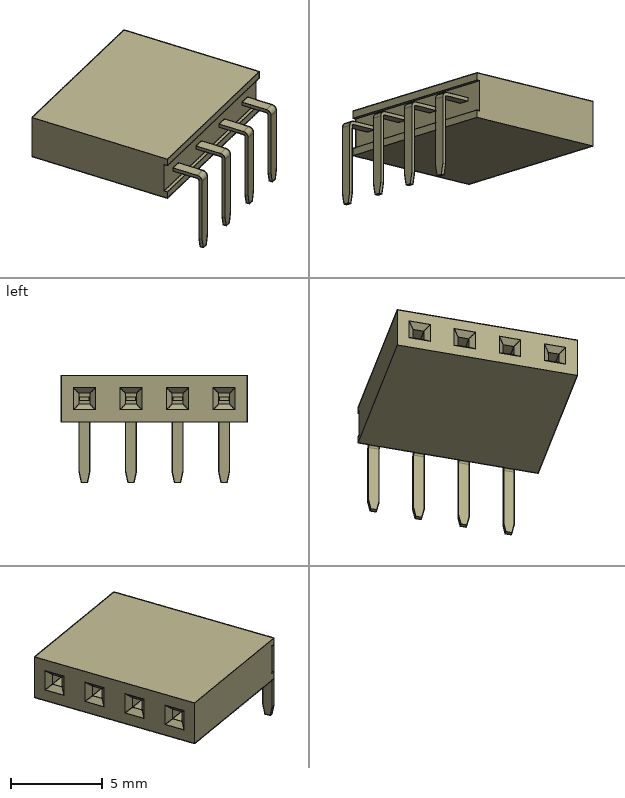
import cadquery as cq

pin_count = 4
pitch = 2.54
housing_length = 8.5
housing_width = pin_count * pitch
housing_height = 2.54
rear_recess_depth = 0.2
rear_lip_height = 0.42

lead_in_size = 1.2
socket_size = 0.6
lead_in_depth = (lead_in_size - socket_size) / 2
socket_depth = 6.0

contact_width = 0.6
contact_thickness = 0.2
blade_width = 0.52
blade_start = 3.0
blade_overlap = 0.1
bend_outer_radius = 0.3
bend_inner_radius = bend_outer_radius - contact_thickness
contact_reach = 10.13
leg_drop = 3.3
tip_width = 0.34
tip_length = 0.6

axis_height = housing_height / 2
recess_face = housing_length - rear_recess_depth
contact_top = axis_height + contact_thickness / 2
row_positions = [(i - (pin_count - 1) / 2) * pitch for i in range(pin_count)]


def make_housing():
    """Rectangular block with a full-width recess between two lips at the rear."""
    block = cq.Workplane("XY").box(
        housing_length, housing_width, housing_height, centered=(False, True, False)
    )
    recess = cq.Workplane("XY").box(
        rear_recess_depth,
        housing_width,
        housing_height - 2 * rear_lip_height,
        centered=(False, True, True),
    )
    return block.cut(recess.translate((recess_face, 0, axis_height)))


def make_socket(y):
    """Cutter for one socket: tapered lead-in plus straight square hole."""
    lead_in = (
        cq.Workplane("YZ", origin=(0, y, axis_height))
        .rect(lead_in_size, lead_in_size)
        .workplane(offset=lead_in_depth)
        .rect(socket_size, socket_size)
        .loft(ruled=True)
    )
    hole = (
        cq.Workplane("YZ", origin=(0, y, axis_height))
        .rect(socket_size, socket_size)
        .extrude(socket_depth)
    )
    return lead_in.union(hole)


def make_blade(y):
    """Flat mating end of a contact, standing inside its socket."""
    blade = cq.Workplane("XY").box(
        socket_depth + blade_overlap - blade_start,
        blade_width,
        contact_thickness,
        centered=(False, True, True),
    )
    return blade.translate((blade_start, y, axis_height))


def make_tail(y):
    """Strip from the socket floor out through the rear face, bent down into a leg with a tapered tip."""
    strip = (
        cq.Workplane("XZ", origin=(0, y, 0))
        .moveTo(socket_depth, contact_top)
        .lineTo(contact_reach, contact_top)
        .lineTo(contact_reach, -leg_drop)
        .lineTo(contact_reach - contact_thickness, -leg_drop)
        .lineTo(contact_reach - contact_thickness, contact_top - contact_thickness)
        .lineTo(socket_depth, contact_top - contact_thickness)
        .close()
        .extrude(contact_width / 2, both=True)
    )
    strip = strip.edges("|Y and >X and >Z").fillet(bend_outer_radius)
    inner_corner = cq.selectors.NearestToPointSelector(
        (contact_reach - contact_thickness, y, contact_top - contact_thickness)
    )
    strip = strip.edges(inner_corner).fillet(bend_inner_radius)
    front_outline = (
        cq.Workplane("YZ", origin=(0, y, 0))
        .moveTo(-contact_width / 2, contact_top)
        .lineTo(contact_width / 2, contact_top)
        .lineTo(contact_width / 2, tip_length - leg_drop)
        .lineTo(tip_width / 2, -leg_drop)
        .lineTo(-tip_width / 2, -leg_drop)
        .lineTo(-contact_width / 2, tip_length - leg_drop)
        .close()
        .extrude(contact_reach)
    )
    return strip.intersect(front_outline)


result = make_housing()
for row_y in row_positions:
    result = result.cut(make_socket(row_y))
    result = result.union(make_blade(row_y))
    result = result.union(make_tail(row_y))